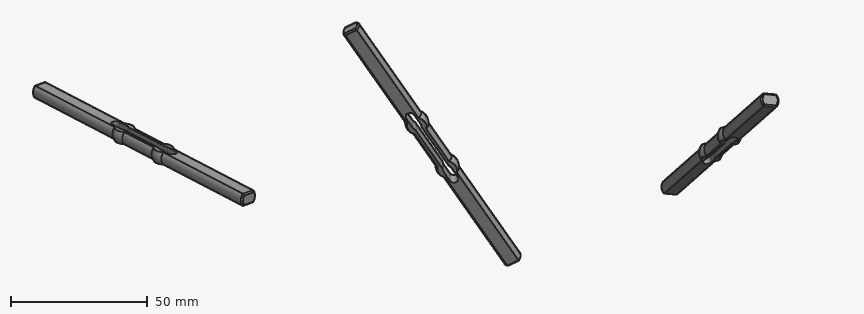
import cadquery as cq
import math

length = 118.8
rod_diameter = 6.9
thickness = 5.0
end_chamfer = 0.6

bulge_diameter = 8.5
bulge_length = 5.5
bulge_spacing = 22.1

slot_length = 35.0
slot_width = 3.3
waist_width = 2.6
waist_length = 19.5
waist_taper_length = 1.3

rod_radius = rod_diameter / 2
bulge_radius = bulge_diameter / 2


def make_rod():
    """Rod along X with round sides and flats on the top and bottom."""
    flat_z = thickness / 2
    flat_y = math.sqrt(rod_radius**2 - flat_z**2)
    return (
        cq.Workplane("YZ")
        .moveTo(-flat_y, flat_z)
        .lineTo(flat_y, flat_z)
        .threePointArc((rod_radius, 0), (flat_y, -flat_z))
        .lineTo(-flat_y, -flat_z)
        .threePointArc((-rod_radius, 0), (-flat_y, flat_z))
        .close()
        .extrude(length / 2, both=True)
        .faces("<X or >X")
        .chamfer(end_chamfer)
    )


def make_bulge(center_x):
    """Swelling turned about the rod axis with an arc profile, cut flush with the rod flats."""
    start_x = center_x - bulge_length / 2
    end_x = center_x + bulge_length / 2
    return (
        cq.Workplane("XY")
        .moveTo(start_x, 0)
        .lineTo(start_x, rod_radius)
        .threePointArc((center_x, bulge_radius), (end_x, rod_radius))
        .lineTo(end_x, 0)
        .close()
        .revolve(360, (0, 0, 0), (1, 0, 0))
        .intersect(cq.Workplane("XY").box(length, bulge_diameter, thickness))
    )


def make_slot():
    """Through slot with round ends, narrowed between the bulges by a short taper at each end."""
    end_radius = slot_width / 2
    arc_x = slot_length / 2 - end_radius
    waist_x = waist_length / 2
    taper_x = waist_x + waist_taper_length
    waist_y = waist_width / 2
    return (
        cq.Workplane("XY")
        .moveTo(-arc_x, end_radius)
        .lineTo(-taper_x, end_radius)
        .lineTo(-waist_x, waist_y)
        .lineTo(waist_x, waist_y)
        .lineTo(taper_x, end_radius)
        .lineTo(arc_x, end_radius)
        .threePointArc((arc_x + end_radius, 0), (arc_x, -end_radius))
        .lineTo(taper_x, -end_radius)
        .lineTo(waist_x, -waist_y)
        .lineTo(-waist_x, -waist_y)
        .lineTo(-taper_x, -end_radius)
        .lineTo(-arc_x, -end_radius)
        .threePointArc((-arc_x - end_radius, 0), (-arc_x, end_radius))
        .close()
        .extrude(thickness, both=True)
    )


body = make_rod()
for side in (-1, 1):
    body = body.union(make_bulge(side * bulge_spacing / 2))

result = body.clean().cut(make_slot())